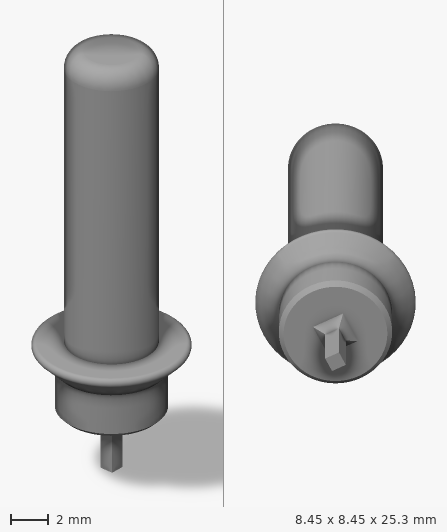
import cadquery as cq
import math

total_length = 25.3
pin_length = 3.04
pin_width = 0.8
taper_height = 0.45
taper_top_width = 1.77
collar_height = 2.6

rod_diameter = 5.0
collar_diameter = 5.97
flange_diameter = 8.45

tip_fillet = 1.0
rim_radius = 0.25
collar_chamfer = 0.25

collar_bottom = pin_length + taper_height
flare_bottom = collar_bottom + collar_height


def cylinder(diameter, bottom, top):
    return cq.Workplane("XY").workplane(offset=bottom).circle(diameter / 2).extrude(top - bottom)


def make_rod():
    rod = cylinder(rod_diameter, flare_bottom, total_length)
    return rod.faces(">Z").edges().fillet(tip_fillet)


def make_collar():
    collar = cylinder(collar_diameter, collar_bottom, flare_bottom)
    return collar.faces("<Z").edges().chamfer(collar_chamfer)


def make_flange():
    """45-degree flare running tangentially into a rounded rim."""
    collar_radius = collar_diameter / 2
    rim_center_x = flange_diameter / 2 - rim_radius
    rim_offset = rim_radius * math.sqrt(0.5)
    flare_end_x = rim_center_x + rim_offset
    flare_end_z = flare_bottom + flare_end_x - collar_radius
    rim_center_z = flare_end_z + rim_offset
    flange_top = rim_center_z + rim_radius
    return (
        cq.Workplane("XZ")
        .moveTo(0, flare_bottom)
        .lineTo(collar_radius, flare_bottom)
        .lineTo(flare_end_x, flare_end_z)
        .threePointArc((rim_center_x + rim_radius, rim_center_z), (rim_center_x, flange_top))
        .lineTo(0, flange_top)
        .close()
        .revolve(360, (0, 0, 0), (0, 1, 0))
    )


def make_pin():
    """Square pin joined to the collar by a square taper."""
    pin = cq.Workplane("XY").rect(pin_width, pin_width).extrude(pin_length)
    taper = (
        cq.Workplane("XY")
        .workplane(offset=pin_length)
        .rect(pin_width, pin_width)
        .workplane(offset=taper_height)
        .rect(taper_top_width, taper_top_width)
        .loft(ruled=True)
    )
    return pin.union(taper)


result = make_rod().union(make_flange()).union(make_collar()).union(make_pin())